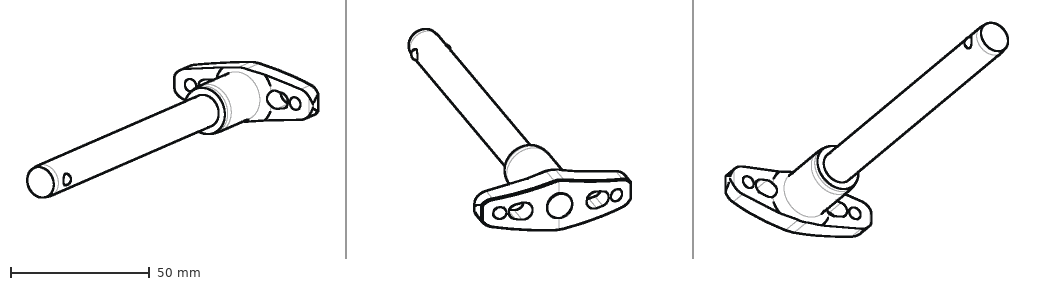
import cadquery as cq
import math

total_length = 145.7

handle_length = 59.2
handle_width = 20.1
handle_end_radius = 5.8
handle_tip_depth = 9.8
handle_middle_depth = 8.3
crown_radius = 61.2
crown_offset = 8.7
tip_taper = 1.0
tip_rounding = 1.2
top_chamfer = 0.5
button_radius = 4.8
button_rise = 0.1

hole_radius = 2.3
hole_offset = 22.3
slot_inner_radius = 3.4
slot_inner_offset = 13.7
slot_outer_radius = 2.9
slot_outer_offset = 16.2

collar_radius = 9.0
flare_radius = 3.4
flare_depth = 12.2
collar_taper_depth = 31.5
collar_rim_depth = 33.7
collar_depth = 35.1
collar_rim_radius = 8.9
collar_end_radius = 8.6

pin_radius = 6.0
pin_end_radius = 5.7
pin_lead_length = 2.6
ball_radius = 2.2
ball_reach = 7.5
ball_depth = 137.5


def tapered_prism(inner_x, inner_radius, outer_x, outer_radius):
    """Prism along Y around two circles on the X axis joined by their outer tangent lines."""
    slope = math.asin((inner_radius - outer_radius) / (outer_x - inner_x))

    def tangent_point(centre_x, radius, side):
        return (centre_x + radius * math.sin(slope), side * radius * math.cos(slope))

    return (
        cq.Workplane("XZ")
        .moveTo(*tangent_point(inner_x, inner_radius, 1))
        .lineTo(*tangent_point(outer_x, outer_radius, 1))
        .threePointArc((outer_x + outer_radius, 0), tangent_point(outer_x, outer_radius, -1))
        .lineTo(*tangent_point(inner_x, inner_radius, -1))
        .threePointArc((inner_x - inner_radius, 0), tangent_point(inner_x, inner_radius, 1))
        .close()
        .extrude(total_length / 2, both=True)
    )


def both_sides(body):
    """The body together with its mirror image across the YZ plane."""
    return body.union(body.mirror("YZ"))


def crown_height(x):
    """Y of the handle top face on the +X half."""
    return math.sqrt(crown_radius**2 - (x - crown_offset) ** 2) - crown_radius - button_rise


def make_outline():
    """Handle plan shape, from a wide middle to narrow rounded ends."""
    end_centre = handle_length / 2 - handle_end_radius
    half = tapered_prism(0, handle_width / 2, end_centre, handle_end_radius)
    half = half.intersect(
        cq.Workplane("XY").box(total_length, 2 * total_length, total_length, centered=(False, True, True))
    )
    return both_sides(half)


def make_bar(outline):
    """Handle bar with a double-crowned top and an underside that drops toward the tips."""
    tip_x = handle_length / 2
    tip_top_x = tip_x - tip_taper
    rounding_inset = tip_rounding * (1 - math.sqrt(0.5))
    profile = (
        cq.Workplane("XY")
        .moveTo(0, -handle_middle_depth)
        .lineTo(tip_x - tip_rounding, -handle_tip_depth)
        .threePointArc(
            (tip_x - rounding_inset, rounding_inset - handle_tip_depth),
            (tip_x, tip_rounding - handle_tip_depth),
        )
        .lineTo(tip_top_x, crown_height(tip_top_x))
        .threePointArc((crown_offset, -button_rise), (0, crown_height(0)))
        .threePointArc((-crown_offset, -button_rise), (-tip_top_x, crown_height(tip_top_x)))
        .lineTo(-tip_x, tip_rounding - handle_tip_depth)
        .threePointArc(
            (-tip_x + rounding_inset, rounding_inset - handle_tip_depth),
            (-tip_x + tip_rounding, -handle_tip_depth),
        )
        .close()
        .extrude(handle_width, both=True)
    )
    return outline.intersect(profile)


def top_rim():
    """Selector for the edges around the top face, leaving out the valley edge at X = 0."""
    valley_gap = 0.1
    rim_depth = handle_tip_depth / 2
    right_half = cq.selectors.BoxSelector(
        (valley_gap, -rim_depth, -handle_width), (handle_length, rim_depth, handle_width)
    )
    left_half = cq.selectors.BoxSelector(
        (-handle_length, -rim_depth, -handle_width), (-valley_gap, rim_depth, handle_width)
    )
    return right_half + left_half


def make_openings():
    slot = tapered_prism(slot_inner_offset, slot_inner_radius, slot_outer_offset, slot_outer_radius)
    hole = (
        cq.Workplane("XZ")
        .center(hole_offset, 0)
        .circle(hole_radius)
        .extrude(total_length / 2, both=True)
    )
    return both_sides(slot.union(hole))


def make_flare(outline):
    """Concave fillet from the collar to the handle, trimmed to the handle plan shape."""
    arc_x = collar_radius + flare_radius
    diagonal = flare_radius * math.sqrt(0.5)
    flare_top = flare_radius - flare_depth
    ring = (
        cq.Workplane("XY")
        .moveTo(0, -flare_depth)
        .lineTo(collar_radius, -flare_depth)
        .threePointArc((arc_x - diagonal, diagonal - flare_depth), (arc_x, flare_top))
        .lineTo(arc_x, -handle_middle_depth)
        .lineTo(0, -handle_middle_depth)
        .close()
        .revolve(360, (0, 0, 0), (0, 1, 0))
    )
    return ring.intersect(outline)


def make_shaft():
    """Collar and pin as one turned body."""
    return (
        cq.Workplane("XY")
        .moveTo(0, -handle_middle_depth)
        .lineTo(collar_radius, -handle_middle_depth)
        .lineTo(collar_radius, -collar_taper_depth)
        .lineTo(collar_rim_radius, -collar_rim_depth)
        .lineTo(collar_end_radius, -collar_depth)
        .lineTo(pin_radius, -collar_depth)
        .lineTo(pin_radius, pin_lead_length - total_length)
        .lineTo(pin_end_radius, -total_length)
        .lineTo(0, -total_length)
        .close()
        .revolve(360, (0, 0, 0), (0, 1, 0))
    )


def make_button():
    """Release button, standing just proud of the two crowns."""
    return cq.Workplane("XZ").circle(button_radius).extrude(handle_middle_depth)


def make_balls():
    ball = cq.Workplane("XY").sphere(ball_radius)
    return both_sides(ball.translate((ball_reach - ball_radius, -ball_depth, 0)))


outline = make_outline()
bar = make_bar(outline)
bar = bar.edges(top_rim()).chamfer(top_chamfer)
handle = bar.union(make_flare(outline)).cut(make_openings())
result = handle.union(make_shaft()).union(make_button()).union(make_balls())